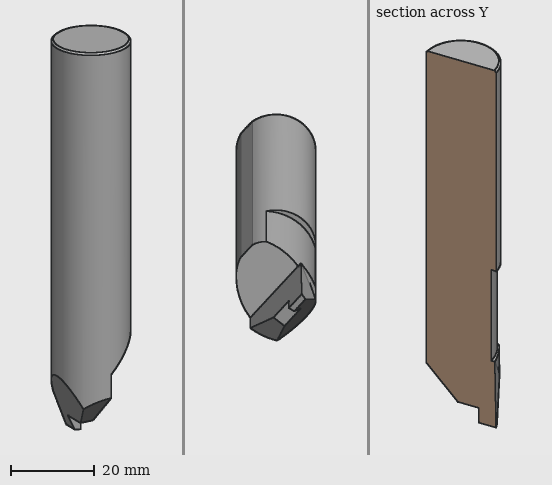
import cadquery as cq
import math

radius = 19.05 / 2
length = 101.6
end_chamfer = 0.5
flat_depth = 0.25

neck_bottom = 18.8
neck_top = 44.5
neck_depth = 1.35
neck_arc_radius = 12.7

back_angle = 45
bevel_angle = 25
bevel_start = 17.2
corner_height = 12.8
tip_height = 4.2
tip_width = 4.8
tip_side_relief = 5
tip_end_relief = 8

edge_lean = 1
corner_turn = 42.5
crown_radius = 24

margin = 5
reach = radius + margin


def tan_deg(angle):
    return math.tan(math.radians(angle))


def bar_point(angle):
    """Point on the bar surface, the angle turning from -X toward -Y."""
    turn = math.radians(angle)
    return -radius * math.cos(turn), -radius * math.sin(turn)


def side_prism(points):
    """Prism along X from an outline given as (Y, Z) points."""
    return cq.Workplane("YZ").polyline(points).close().extrude(reach, both=True)


def make_bar():
    """Round bar with a chamfered top and a flat along its +Y side."""
    bar = cq.Workplane("XY").circle(radius).extrude(length).faces(">Z").chamfer(end_chamfer)
    flat_y = radius - flat_depth
    flat = cq.Workplane("XY").box(2 * reach, margin, length, centered=(True, False, False))
    return bar.cut(flat.translate((0, flat_y, 0)))


def neck_relief():
    """Cutter with a hollow wall that leaves a broad convex arc on the -X side."""
    height = neck_top - neck_bottom
    core_x = neck_depth - radius + neck_arc_radius
    block = cq.Workplane("XY").box(reach, 2 * reach, height, centered=(False, True, False))
    block = block.translate((-reach, 0, 0))
    core = cq.Workplane("XY").center(core_x, 0).circle(neck_arc_radius).extrude(height)
    return block.cut(core).translate((0, 0, neck_bottom))


def back_cut():
    """Removes the +Y half below the rake face and its sloping run-out."""
    slope_top = neck_bottom + reach * tan_deg(back_angle)
    return side_prism([(0, -margin), (0, neck_bottom), (reach, slope_top), (reach, -margin)])


def underside_bevel():
    """Removes the -Y flank below the slope that runs down to the tip."""
    drop = bevel_start + margin
    inner_y = -radius + drop * tan_deg(bevel_angle)
    outer_z = bevel_start + margin / tan_deg(bevel_angle)
    return side_prism([(-reach, outer_z), (inner_y, -margin), (-reach, -margin)])


def corner_slope():
    """Removes the +X corner, leaving a level step above the tip."""
    foot_x = radius - (corner_height - tip_height)
    outline = [(0, tip_height), (foot_x, tip_height), (reach, corner_height + margin),
               (reach, -margin), (0, -margin)]
    return cq.Workplane("XZ").polyline(outline).close().extrude(reach, both=True)


def tip_notch():
    """Removes the material beside the tip; its wall leans back from the rake face."""
    wall_x = tip_width - radius
    lean = reach * tan_deg(tip_side_relief)
    outline = [(wall_x, 0), (wall_x - lean, -reach), (reach, -reach), (reach, 0)]
    height = tip_height + margin
    return cq.Workplane("XY").workplane(offset=-margin).polyline(outline).close().extrude(height)


def tip_end_clearance():
    """Tilts the end face of the tip up, away from the cutting edge."""
    rise = reach * tan_deg(tip_end_relief)
    return side_prism([(0, 0), (-reach, rise), (-reach, -margin), (0, -margin)])


def edge_point(height):
    """Point on the leaning cutting edge."""
    return cq.Vector(height * tan_deg(edge_lean) - radius, 0, height)


def clearance_corner():
    """Point where the clearance face, the underside slope and the bar meet."""
    x, y = bar_point(corner_turn)
    return cq.Vector(x, y, bevel_start - (radius + y) / tan_deg(bevel_angle))


def clearance_direction():
    """Level unit vector in the clearance face, pointing away from the rake face."""
    corner = clearance_corner()
    return (corner - edge_point(corner.z)).normalized()


def crown():
    """Cone left on the flat clearance face, from the arc along its upper edge to its corner."""
    start = edge_point(neck_bottom)
    direction = clearance_direction()
    inward = -start.x * direction.x
    chord = inward + math.sqrt(inward ** 2 + radius ** 2 - start.x ** 2)
    end = start + direction * chord
    sagitta = crown_radius - math.sqrt(crown_radius ** 2 - (chord / 2) ** 2)
    outward = cq.Vector(direction.y, -direction.x, 0)
    middle = (start + end) * 0.5 + outward * sagitta
    arc = cq.Edge.makeThreePointArc(start, middle, end)
    base = cq.Wire.assembleEdges([arc, cq.Edge.makeLine(end, start)])
    apex = cq.Vertex.makeVertex(*clearance_corner().toTuple())
    return cq.Workplane(obj=cq.occ_impl.shapes.loft([base, apex], cap=True, ruled=True))


def side_clearance():
    """Removes the flank outside the clearance face, sparing the crown."""
    edge_direction = (edge_point(neck_bottom) - edge_point(0)).normalized()
    outward = clearance_direction().cross(edge_direction)
    plane = cq.Plane(origin=edge_point(0), xDir=edge_direction, normal=outward)
    cover = 4 * reach
    outside = cq.Workplane(plane).rect(cover, cover).extrude(reach)
    below_neck = cq.Workplane("XY").box(cover, cover, neck_bottom, centered=(True, True, False))
    return outside.intersect(below_neck).cut(crown())


def make_part():
    cutters = [neck_relief(), back_cut(), underside_bevel(), corner_slope(),
               tip_notch(), tip_end_clearance(), side_clearance()]
    part = make_bar()
    for cutter in cutters:
        part = part.cut(cutter)
    return part


result = make_part()